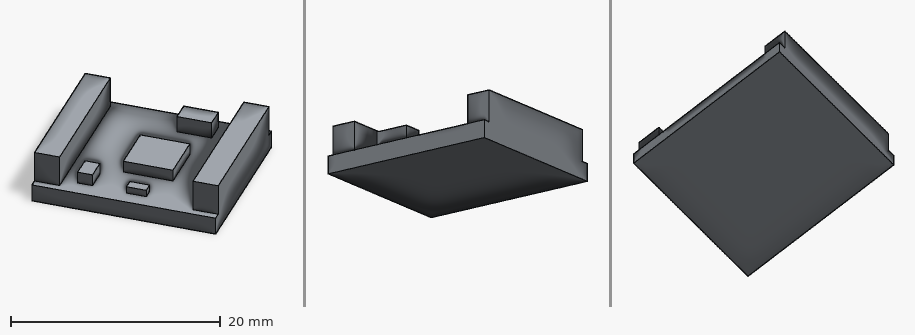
import cadquery as cq

board_length = 18.5
board_width = 16.5
board_thickness = 1.8
overall_height = 5.0

header_width = 2.53
header_length = 14.98
header_height = overall_height - board_thickness
header_offset = (board_length - header_width) / 2

chip_side = 5.0
chip_height = 1.2
chip_center = (0.74, -0.74)

tall_block_size = (3.5, 2.0, 1.7)
tall_block_center = (2.5, 6.23)

low_block_size = (1.5, 2.16, chip_height)
low_block_center = (-4.5, -5.42)

small_block_size = (2.0, 1.0, 0.7)
small_block_center = (chip_center[0], -6.22)


def block_on_board(size, center):
    """Rectangular block standing on the board's top face."""
    x_size, y_size, height = size
    x, y = center
    return (
        cq.Workplane("XY", origin=(x, y, board_thickness))
        .rect(x_size, y_size)
        .extrude(height)
    )


result = cq.Workplane("XY").rect(board_length, board_width).extrude(board_thickness)

for side in (-1, 1):
    header_size = (header_width, header_length, header_height)
    result = result.union(block_on_board(header_size, (side * header_offset, 0)))

components = [
    ((chip_side, chip_side, chip_height), chip_center),
    (tall_block_size, tall_block_center),
    (low_block_size, low_block_center),
    (small_block_size, small_block_center),
]
for component_size, component_center in components:
    result = result.union(block_on_board(component_size, component_center))